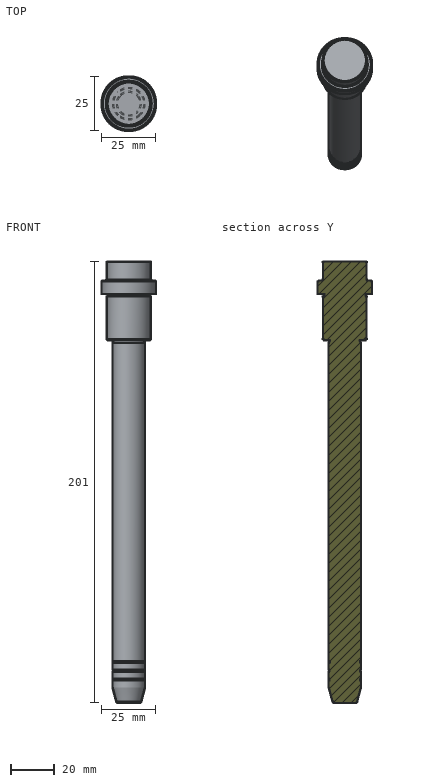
import cadquery as cq
import math

total_length = 201.0

flange_radius = 12.5
body_radius = 10.0
shaft_radius = 7.5

flange_top = 192.4
flange_bottom = 186.1
body_bottom = 165.0
taper_start = 7.0

flange_chamfer = 0.6
body_chamfer = 0.6
relief_depth = 0.6
relief_width = 0.6
head_chamfer = 0.5
head_flare = 0.5
neck_depth = 0.6
neck_height = 1.2
tip_chamfer = 0.6
taper_angle = 15.0

groove_count = 3
groove_pitch = 4.0
first_groove_height = 10.7
groove_width = 1.0
groove_depth = 0.5


def revolve_section(points):
    """Turn a closed radius-height outline once around the Z axis."""
    return cq.Workplane("XZ").polyline(points).close().revolve(360, (0, 0, 0), (0, 1, 0))


def make_pin():
    """Revolve the stepped half profile, from the tip up to the head."""
    tip_radius = shaft_radius - taper_start * math.tan(math.radians(taper_angle))
    chamfer_drop = tip_chamfer * math.tan(math.radians(taper_angle))
    neck_radius = shaft_radius - neck_depth
    relief_radius = body_radius - relief_depth
    profile = [
        (0, 0),
        (tip_radius + chamfer_drop - tip_chamfer, 0),
        (tip_radius + chamfer_drop, tip_chamfer),
        (shaft_radius, taper_start),
        (shaft_radius, body_bottom - neck_height),
        (neck_radius, body_bottom),
        (body_radius - body_chamfer, body_bottom),
        (body_radius, body_bottom + body_chamfer),
        (body_radius, flange_bottom - relief_width - relief_depth),
        (relief_radius, flange_bottom - relief_width),
        (relief_radius, flange_bottom),
        (flange_radius, flange_bottom),
        (flange_radius, flange_top - flange_chamfer),
        (flange_radius - flange_chamfer, flange_top),
        (body_radius + head_flare, flange_top),
        (body_radius, flange_top + head_flare),
        (body_radius, total_length - head_chamfer),
        (body_radius - head_chamfer, total_length),
        (0, total_length),
    ]
    return revolve_section(profile)


def make_ring_groove(center_height):
    """Ring with a V-shaped section that is cut out of the shaft surface."""
    section = [
        (shaft_radius - groove_depth, center_height),
        (shaft_radius, center_height + groove_width / 2),
        (flange_radius, center_height + groove_width / 2),
        (flange_radius, center_height - groove_width / 2),
        (shaft_radius, center_height - groove_width / 2),
    ]
    return revolve_section(section)


result = make_pin()
for index in range(groove_count):
    result = result.cut(make_ring_groove(first_groove_height + index * groove_pitch))